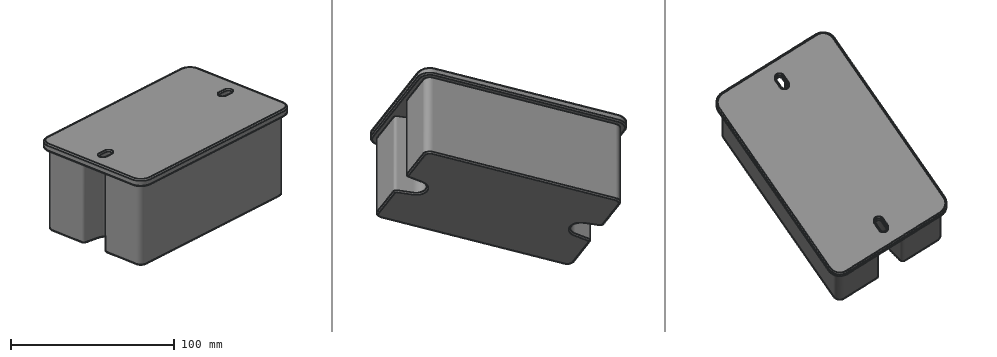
import cadquery as cq
import math

lid_width = 85.14
lid_length = 139.56
lid_thickness = 5.2
lid_corner_radius = 8.3
lid_chamfer = 1.0

total_height = 61.2
lid_overhang = 3.7
box_width = lid_width - 2 * lid_overhang
box_length = lid_length - 2 * lid_overhang
box_height = total_height - lid_thickness
box_corner_radius = lid_corner_radius - lid_overhang
box_chamfer = 1.0

slot_width = 4.4
slot_straight = 5.2
slot_chamfer = 0.9
slot_offset = 55.4

channel_radius = 6.5
channel_flare = math.radians(10)
channel_mouth_fillet = 2.1

channel_tangent_x = channel_radius * math.cos(channel_flare)
channel_tangent_y = slot_offset - channel_radius * math.sin(channel_flare)
channel_mouth_y = box_length / 2
channel_mouth_x = channel_tangent_x + (channel_mouth_y - channel_tangent_y) * math.tan(channel_flare)

SIDES = (-1, 1)


def channel_cutter(side):
    """Full-height channel open towards the short side of the box at -Y or +Y."""
    return (
        cq.Workplane("XY")
        .moveTo(-channel_mouth_x, side * channel_mouth_y)
        .lineTo(-channel_tangent_x, side * channel_tangent_y)
        .threePointArc(
            (0, side * (slot_offset - channel_radius)),
            (channel_tangent_x, side * channel_tangent_y),
        )
        .lineTo(channel_mouth_x, side * channel_mouth_y)
        .close()
        .extrude(box_height)
    )


def make_box():
    """Solid box with rounded corners, a channel in each short side and a chamfered bottom."""
    box = (
        cq.Workplane("XY")
        .rect(box_width, box_length)
        .extrude(box_height)
        .edges("|Z")
        .fillet(box_corner_radius)
    )
    for side in SIDES:
        box = box.cut(channel_cutter(side))
    mouth_points = [
        (x_side * channel_mouth_x, y_side * channel_mouth_y, box_height / 2)
        for x_side in SIDES
        for y_side in SIDES
    ]
    for point in mouth_points:
        box = box.edges(cq.selectors.NearestToPointSelector(point)).fillet(channel_mouth_fillet)
    return box.faces("<Z").chamfer(box_chamfer)


def make_lid():
    """Rounded plate chamfered above and below, with two chamfered screw slots."""
    lid = (
        cq.Workplane("XY")
        .workplane(offset=box_height)
        .rect(lid_width, lid_length)
        .extrude(lid_thickness)
        .edges("|Z")
        .fillet(lid_corner_radius)
        .faces("<Z or >Z")
        .chamfer(lid_chamfer)
    )
    lid = (
        lid.faces(">Z")
        .workplane(origin=(0, 0, total_height))
        .pushPoints([(0, side * slot_offset) for side in SIDES])
        .slot2D(slot_straight + slot_width, slot_width, 90)
        .cutThruAll()
    )
    slot_zone = cq.selectors.BoxSelector(
        (-slot_width, -slot_offset - slot_straight, total_height - lid_chamfer / 2),
        (slot_width, slot_offset + slot_straight, total_height + lid_chamfer / 2),
    )
    return lid.edges(slot_zone).chamfer(slot_chamfer)


box = make_box()
lid = make_lid()

result = cq.Compound.makeCompound([box.val(), lid.val()])